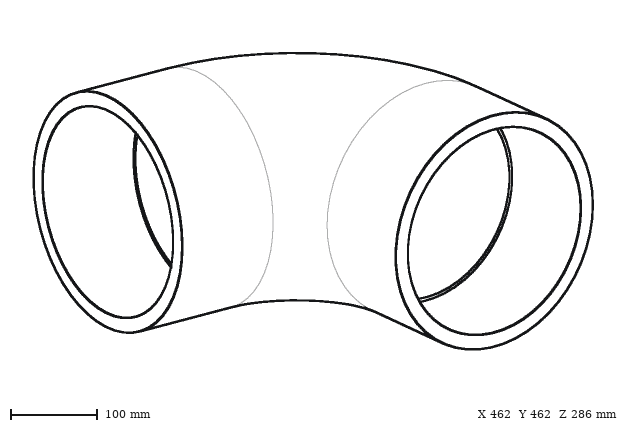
import cadquery as cq

outer_diameter = 286.0
socket_bore = 250.0
bend_bore = 242.0
overall_length = 462.0
socket_length = 131.5
rim_chamfer = 0.5
bend_angle = 90.0

outer_radius = outer_diameter / 2
center_to_face = overall_length - outer_radius
bend_radius = center_to_face - socket_length


def bend(diameter):
    """Solid quarter torus joining the -Y socket to the +X socket."""
    return (
        cq.Workplane("XZ", origin=(0, -bend_radius, 0))
        .circle(diameter / 2)
        .revolve(bend_angle, (bend_radius, 1, 0), (bend_radius, 0, 0))
    )


def socket_cylinders(diameter):
    """The two cylinders that reach from the open faces to the ends of the bend."""
    y_cylinder = (
        cq.Workplane("XZ", origin=(0, -bend_radius, 0))
        .circle(diameter / 2)
        .extrude(socket_length)
    )
    x_cylinder = (
        cq.Workplane("YZ", origin=(bend_radius, 0, 0))
        .circle(diameter / 2)
        .extrude(socket_length)
    )
    return y_cylinder, x_cylinder


body = bend(outer_diameter)
for cylinder in socket_cylinders(outer_diameter):
    body = body.union(cylinder)

body = body.cut(bend(bend_bore))
for cylinder in socket_cylinders(socket_bore):
    body = body.cut(cylinder)

result = body.faces("<Y or >X").chamfer(rim_chamfer)